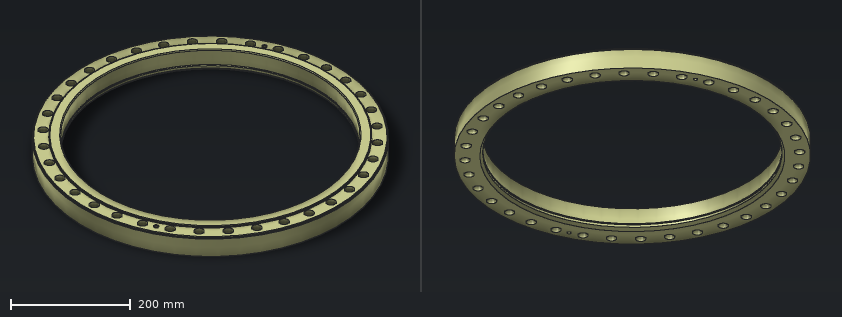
import cadquery as cq

outer_diameter = 595.0
total_height = 43.0
rim_step_height = 2.5
rim_step_width = 2.5
rim_chamfer = 1.0

bore_diameter = 500.0
bore_top_chamfer = 2.0
bore_taper_height = 5.5
bore_taper_width = 5.0

groove_floor_height = 10.0
groove_width = 2.5
groove_depth = 3.5

raised_face_height = 3.5
raised_face_base_diameter = 539.5
raised_face_step_height = 2.5
raised_face_step_width = 2.0

bolt_count = 36
bolt_circle_diameter = 559.5
bolt_hole_diameter = 17.0

small_hole_count = 2
small_hole_diameter = 6.5
countersink_diameter = 9.0
countersink_angle = 90
bolt_spacing_angle = 360 / bolt_count
first_small_hole_angle = 90 + bolt_spacing_angle / 2

outer_radius = outer_diameter / 2
bore_radius = bore_diameter / 2
groove_radius = bore_radius + groove_depth
groove_roof_height = groove_floor_height + groove_width
bolt_circle_radius = bolt_circle_diameter / 2
raised_face_base_radius = raised_face_base_diameter / 2
raised_face_top_radius = raised_face_base_radius - raised_face_step_width
raised_face_step_level = total_height - raised_face_step_height
flange_height = total_height - raised_face_height
rim_step_level = flange_height - rim_step_height
rim_step_radius = outer_radius - rim_step_width


def make_ring():
    """Revolve the radial cross-section about the Z axis."""
    profile = [
        (bore_radius + bore_taper_width, 0),
        (outer_radius, 0),
        (outer_radius, rim_step_level - rim_chamfer),
        (outer_radius - rim_chamfer, rim_step_level),
        (rim_step_radius, rim_step_level),
        (rim_step_radius, flange_height),
        (raised_face_base_radius, flange_height),
        (raised_face_base_radius, raised_face_step_level),
        (raised_face_top_radius, raised_face_step_level),
        (raised_face_top_radius, total_height),
        (bore_radius + bore_top_chamfer, total_height),
        (bore_radius, total_height - bore_top_chamfer),
        (bore_radius, groove_roof_height),
        (groove_radius, groove_roof_height),
        (groove_radius, groove_floor_height),
        (bore_radius, groove_floor_height),
        (bore_radius, bore_taper_height),
    ]
    section = cq.Workplane("XZ").polyline(profile).close()
    return section.revolve(360, (0, 0, 0), (0, 1, 0))


def bolt_circle_places(ring, count, start_angle):
    """Evenly spaced points on the bolt circle, on the flange's upper surface."""
    upper_surface = cq.Workplane("XY", origin=(0, 0, flange_height)).add(ring)
    return upper_surface.polarArray(bolt_circle_radius, start_angle, 360, count)


ring = make_ring()
drilled = bolt_circle_places(ring, bolt_count, 0).hole(bolt_hole_diameter)
result = bolt_circle_places(drilled, small_hole_count, first_small_hole_angle).cskHole(
    small_hole_diameter, countersink_diameter, countersink_angle
)